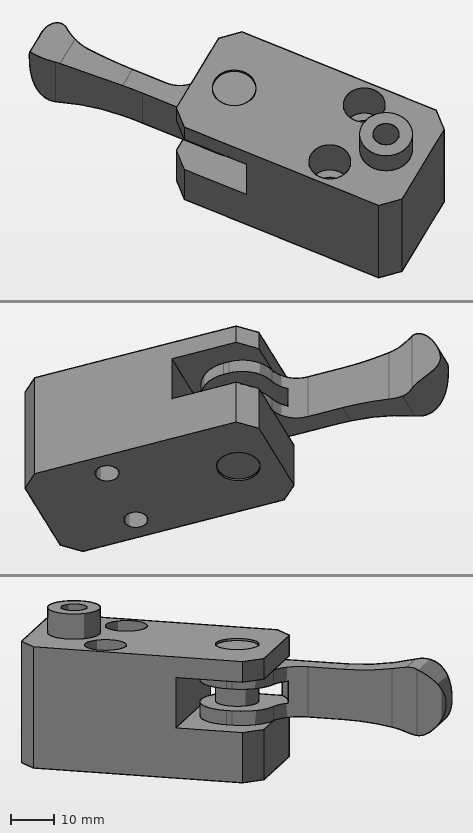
import cadquery as cq
import math


overall_length = 98.5
body_length = 58.1
body_width = 30.0
body_height = 29.0
corner_chamfer = 4.0
pivot_from_end = 9.5
slot_depth = 20.0
slot_height = 12.0
slot_floor = 12.0
slot_middle = slot_floor + slot_height / 2
body_left = -pivot_from_end
body_right = body_left + body_length

boss_diameter = 12.2
boss_height = 6.0
boss_bore = 6.0
boss_bore_depth = 10.0
boss_from_end = 9.6
boss_x = body_right - boss_from_end

mount_from_end = 19.6
mount_x = body_right - mount_from_end
mount_offset = 9.0
mount_diameter = 5.5
counterbore_diameter = 9.7
counterbore_depth = 10.0

pin_diameter = 10.0
pin_recess = 0.5

arm_thickness = 5.0
hub_radius = 8.4
hub_offset = 0.8
hub_stretch = 1.3
hub_fillet = 7.0
arm_low = hub_offset - hub_radius
arm_high = arm_low + arm_thickness
clevis_gap = 5.2
clevis_radius = 12.0

tip_x = body_right - overall_length
grip_radius = 8.0
grip_flare_start = -24.9
front_curve = (-42.8, -2.1, 8.0)
front_flare_start = -19.9
back_curve = (-46.1, -3.5, 4.6)
back_flare_radius = 10.0


def on_circle(center, radius, angle):
    return (center[0] + radius * math.cos(angle), center[1] + radius * math.sin(angle))


def direction(start, end):
    return math.atan2(end[1] - start[1], end[0] - start[0])


def midpoint_of_arc(center, start, end):
    """Point halfway along the minor arc from start to end."""
    middle = ((start[0] + end[0]) / 2, (start[1] + end[1]) / 2)
    return on_circle(center, math.dist(center, start), direction(center, middle))


def flare_radius(run, rise, radius):
    """Radius of the concave arc that blends a line into a circle.

    run is the distance along the line from the tangent point to the circle center,
    and rise is the offset from the circle center to the line, toward the flare.
    """
    return (run**2 + rise**2 - radius**2) / (2 * (radius - rise))


def pivot_hole():
    return cq.Workplane("XY").circle(pin_diameter / 2).extrude(body_height)


def mounting_hole(y):
    through = cq.Workplane("XY", origin=(mount_x, y, 0)).circle(mount_diameter / 2).extrude(body_height)
    counterbore = (
        cq.Workplane("XY", origin=(mount_x, y, body_height))
        .circle(counterbore_diameter / 2)
        .extrude(-counterbore_depth)
    )
    return through.union(counterbore)


def make_housing():
    block = (
        cq.Workplane("XY")
        .box(body_length, body_width, body_height, centered=(False, True, False))
        .edges("|Z")
        .chamfer(corner_chamfer)
        .translate((body_left, 0, 0))
    )
    slot = (
        cq.Workplane("XY")
        .box(slot_depth, body_width, slot_height, centered=(False, True, False))
        .translate((body_left, 0, slot_floor))
    )
    boss = (
        cq.Workplane("XY", origin=(boss_x, 0, body_height))
        .circle(boss_diameter / 2)
        .extrude(boss_height)
    )
    bore = (
        cq.Workplane("XY", origin=(boss_x, 0, body_height + boss_height))
        .circle(boss_bore / 2)
        .extrude(-boss_bore_depth)
    )
    housing = block.cut(slot).union(boss).cut(bore).cut(pivot_hole())
    for y in (-mount_offset, mount_offset):
        housing = housing.cut(mounting_hole(y))
    return housing


def make_pin():
    length = body_height - 2 * pin_recess
    return cq.Workplane("XY", origin=(0, 0, pin_recess)).circle(pin_diameter / 2).extrude(length)


def lever_plan():
    """Lever outline in XY, extruded to the full height of the grip."""
    front_center = front_curve[:2]
    front_radius = front_curve[2]
    front_run = front_flare_start - front_center[0]
    front_rise = front_center[1] - arm_low
    front_flare_radius = flare_radius(front_run, front_rise, front_radius)
    front_start = (front_flare_start, arm_low)
    front_flare_center = (front_flare_start, arm_low - front_flare_radius)
    front_join = on_circle(front_center, front_radius, direction(front_center, front_flare_center))
    front_tip_y = front_center[1] - math.sqrt(front_radius**2 - (tip_x - front_center[0])**2)
    front_tip = (tip_x, front_tip_y)

    back_center = back_curve[:2]
    back_radius = back_curve[2]
    back_tip_y = back_center[1] + math.sqrt(back_radius**2 - (tip_x - back_center[0])**2)
    back_tip = (tip_x, back_tip_y)
    flare_y = arm_high + back_flare_radius
    rise = flare_y - back_center[1]
    flare_x = back_center[0] + math.sqrt((back_radius + back_flare_radius)**2 - rise**2)
    back_flare_center = (flare_x, flare_y)
    back_join = on_circle(back_center, back_radius, direction(back_center, back_flare_center))
    back_end = (flare_x, arm_high)

    hub_left = (-hub_stretch, hub_offset)
    fillet_y = arm_high + hub_fillet
    fillet_x = hub_left[0] - math.sqrt((hub_radius + hub_fillet)**2 - (fillet_y - hub_offset)**2)
    fillet_center = (fillet_x, fillet_y)
    fillet_start = (fillet_x, arm_high)
    fillet_end = on_circle(hub_left, hub_radius, direction(hub_left, fillet_center))
    hub_top_left = (-hub_stretch, hub_offset + hub_radius)

    return (
        cq.Workplane("XY", origin=(0, 0, slot_middle))
        .moveTo(0, arm_low)
        .lineTo(*front_start)
        .threePointArc(midpoint_of_arc(front_flare_center, front_start, front_join), front_join)
        .threePointArc(midpoint_of_arc(front_center, front_join, front_tip), front_tip)
        .lineTo(*back_tip)
        .threePointArc(midpoint_of_arc(back_center, back_tip, back_join), back_join)
        .threePointArc(midpoint_of_arc(back_flare_center, back_join, back_end), back_end)
        .lineTo(*fillet_start)
        .threePointArc(midpoint_of_arc(fillet_center, fillet_start, fillet_end), fillet_end)
        .threePointArc(midpoint_of_arc(hub_left, fillet_end, hub_top_left), hub_top_left)
        .lineTo(0, hub_offset + hub_radius)
        .threePointArc((hub_radius, hub_offset), (0, arm_low))
        .close()
        .extrude(grip_radius, both=True)
    )


def lever_side():
    """Lever outline in XZ, extruded across the full width of the lever."""
    half_arm = slot_height / 2
    grip_center = (tip_x + grip_radius, 0)
    run = grip_flare_start - grip_center[0]
    radius = flare_radius(run, half_arm, grip_radius)
    start = (grip_flare_start, half_arm)
    flare_center = (grip_flare_start, half_arm + radius)
    join = on_circle(grip_center, grip_radius, direction(grip_center, flare_center))
    middle = midpoint_of_arc(flare_center, start, join)
    return (
        cq.Workplane("XZ", origin=(0, 0, slot_middle))
        .moveTo(hub_radius, half_arm)
        .lineTo(*start)
        .threePointArc(middle, join)
        .threePointArc((tip_x, 0), (join[0], -join[1]))
        .threePointArc((middle[0], -middle[1]), (start[0], -start[1]))
        .lineTo(hub_radius, -half_arm)
        .close()
        .extrude(body_width / 2, both=True)
    )


def make_lever():
    clevis = (
        cq.Workplane("XY", origin=(0, hub_offset, slot_middle))
        .circle(clevis_radius)
        .extrude(clevis_gap / 2, both=True)
    )
    return lever_plan().intersect(lever_side()).cut(clevis).cut(pivot_hole())


housing = make_housing()
lever = make_lever()
pin = make_pin()

result = cq.Compound.makeCompound([*housing.solids().vals(), *lever.solids().vals(), pin.val()])